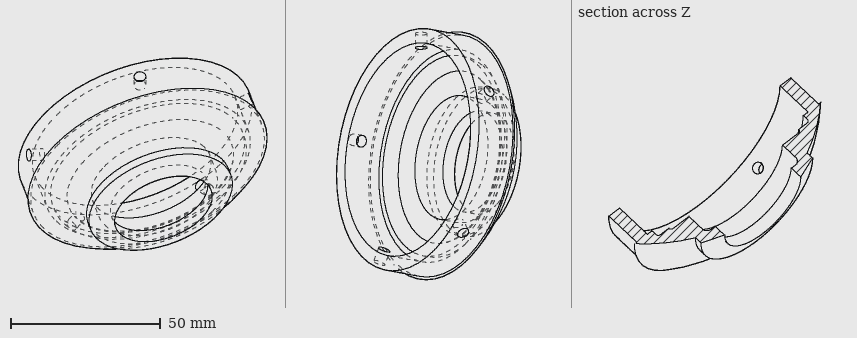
import cadquery as cq

length = 31.5
shoulder_x = 13.9
dome_end_x = 25.8
nose_cone_x = 28.6
step_depth = 16.9
seat_depth = 17.95
pocket_depth = 26.7

outer_radius = 83.9 / 2
rim_radius = 81.9 / 2
nose_radius = 50.3 / 2

dome_mid_x = 20.6
dome_mid_radius = 34.0

recess_radius = 72.1 / 2
step_radius = 68.0 / 2
seat_radius = 29.2
pocket_radius = 42.0 / 2
bore_radius = 34.2 / 2

step_fillet = seat_depth - step_depth
pocket_fillet = 2 * step_fillet

hole_count = 5
hole_diameter = 3.9
hole_x = 5.5


def make_body():
    """Revolve the outer silhouette about the X axis; the nose tapers to the bore edge."""
    profile = (
        cq.Workplane("XY")
        .lineTo(0, rim_radius)
        .lineTo(shoulder_x, rim_radius)
        .lineTo(shoulder_x, outer_radius)
        .threePointArc((dome_mid_x, dome_mid_radius), (dome_end_x, nose_radius))
        .lineTo(nose_cone_x, nose_radius)
        .lineTo(length, bore_radius)
        .lineTo(length, 0)
        .close()
    )
    return profile.revolve(360, (0, 0, 0), (1, 0, 0))


def make_recess(depth, radius, fillet=0):
    """Make a round cutter from the rim face, with an optional fillet around its floor."""
    cutter = cq.Workplane("YZ").circle(radius).extrude(depth)
    if fillet:
        cutter = cutter.faces(">X").edges().fillet(fillet)
    return cutter


def make_rim_hole(angle):
    """Make a radial drill, turned about X from the +Z direction."""
    drill = cq.Workplane("XY").center(hole_x, 0).circle(hole_diameter / 2).extrude(outer_radius)
    return drill.rotate((0, 0, 0), (1, 0, 0), angle)


result = make_body()

result = result.cut(make_recess(shoulder_x, recess_radius))
result = result.cut(make_recess(step_depth, step_radius, step_fillet))
result = result.cut(make_recess(seat_depth, seat_radius, step_fillet))
result = result.cut(make_recess(pocket_depth, pocket_radius, pocket_fillet))
result = result.cut(make_recess(length, bore_radius))

for index in range(hole_count):
    result = result.cut(make_rim_hole(index * 360 / hole_count))